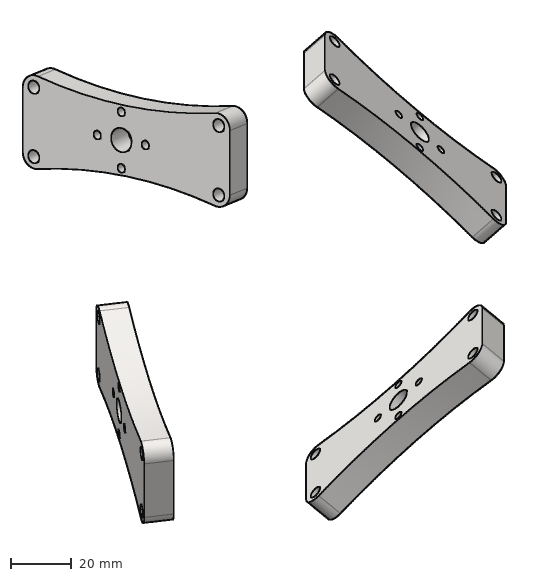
import cadquery as cq
import math

length = 84.0
thickness = 10.0
end_height = 35.0
waist_height = 24.4
corner_radius = 5.0

mount_hole_diameter = 4.5
mount_spacing_x = 75.0
mount_spacing_z = 24.0

hub_x = -2.0
bore_diameter = 8.3
screw_hole_diameter = 3.0
screw_circle_radius = 9.75
screw_count = 4


def plate():
    """Plate with concave long edges and rounded corners, centred on the origin."""
    half_length = length / 2
    half_end = end_height / 2
    half_waist = waist_height / 2
    outline = (
        cq.Workplane("XZ", origin=(0, thickness / 2, 0))
        .moveTo(-half_length, -half_end)
        .threePointArc((0, -half_waist), (half_length, -half_end))
        .lineTo(half_length, half_end)
        .threePointArc((0, half_waist), (-half_length, half_end))
        .close()
    )
    return outline.extrude(thickness).edges("|Y").fillet(corner_radius)


def drill(body, diameter, points):
    """Cut a through hole along Y at each (x, z) point."""
    holes = (
        cq.Workplane("XZ", origin=(0, thickness / 2, 0))
        .pushPoints(points)
        .circle(diameter / 2)
        .extrude(thickness)
    )
    return body.cut(holes)


mount_points = [
    (side_x * mount_spacing_x / 2, side_z * mount_spacing_z / 2)
    for side_x in (-1, 1)
    for side_z in (-1, 1)
]

screw_angles = [2 * math.pi * i / screw_count for i in range(screw_count)]
screw_points = [
    (hub_x + screw_circle_radius * math.cos(angle), screw_circle_radius * math.sin(angle))
    for angle in screw_angles
]

result = plate()
result = drill(result, mount_hole_diameter, mount_points)
result = drill(result, bore_diameter, [(hub_x, 0)])
result = drill(result, screw_hole_diameter, screw_points)